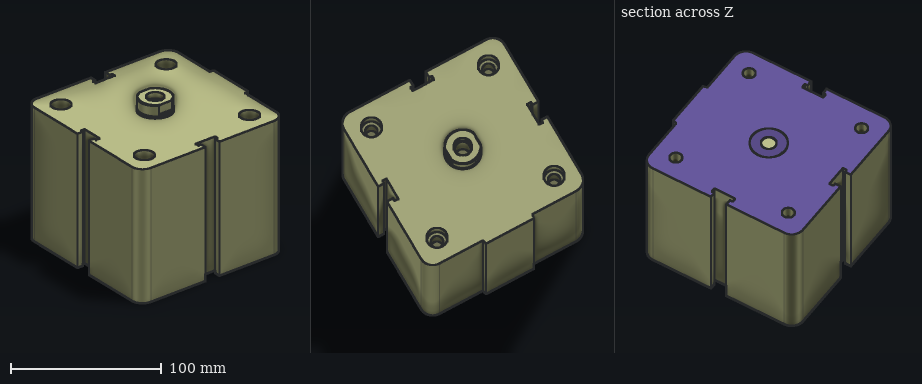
import cadquery as cq

body_side = 122.0
body_height = 101.5
corner_radius = 9.0

rib_height = 3.0
rib_base_width = 38.0
rib_crest_width = 36.2

slot_mouth_width = 12.0
slot_inner_width = 16.2
slot_mouth_depth = 4.6
slot_depth = 7.5

screw_spacing = 89.0
screw_recess_diameter = 14.0
screw_recess_depth = 8.5
screw_hole_diameter = 8.4
screw_hole_depth = 19.5

rod_diameter = 25
rod_end_diameter = 24.5
rod_insertion = 19.5
rod_protrusion = 10
rod_collar_height = 1.6
rod_end_chamfer = 0.5
flat_spacing = 22.0
flat_length = 7.0

rod_hole_diameter = 10.2
rod_hole_depth = 20
rod_entry_diameter = 12.2
rod_entry_depth = 4.9

half_side = body_side / 2
rod_top = body_height + rod_protrusion
rod_bottom = body_height - rod_insertion


def block():
    return (
        cq.Workplane("XY")
        .rect(body_side, body_side)
        .extrude(body_height)
        .edges("|Z")
        .fillet(corner_radius)
    )


def rib():
    crest_y = half_side + rib_height
    return (
        cq.Workplane("XY")
        .polyline([
            (-rib_base_width / 2, half_side),
            (rib_base_width / 2, half_side),
            (rib_crest_width / 2, crest_y),
            (-rib_crest_width / 2, crest_y),
        ])
        .close()
        .extrude(body_height)
    )


def t_slot(angle):
    """T-slot cutter for the -Y face, turned about the Z axis by the angle."""
    mouth = cq.Workplane("XY").box(
        slot_mouth_width, slot_mouth_depth, body_height, centered=(True, False, False)
    )
    inner = cq.Workplane("XY").workplane(origin=(0, slot_mouth_depth, 0)).box(
        slot_inner_width, slot_depth - slot_mouth_depth, body_height, centered=(True, False, False)
    )
    return (
        mouth.union(inner)
        .translate((0, -half_side, 0))
        .rotate((0, 0, 0), (0, 0, 1), angle)
    )


def make_housing():
    housing = block().union(rib())
    for angle in (-90, 0, 90):
        housing = housing.cut(t_slot(angle))
    housing = (
        housing.faces(">Z")
        .workplane(origin=(0, 0, body_height))
        .rect(screw_spacing, screw_spacing, forConstruction=True)
        .vertices()
        .cboreHole(screw_hole_diameter, screw_recess_diameter, screw_recess_depth, screw_hole_depth)
    )
    return (
        housing.faces(">Z")
        .workplane(origin=(0, 0, body_height))
        .hole(rod_diameter, rod_insertion)
    )


def wrench_flats():
    """Cutters that leave two flats facing -X and +X at the rod end."""
    cut_width = (rod_end_diameter - flat_spacing) / 2
    offset = (flat_spacing + cut_width) / 2
    return (
        cq.Workplane("XY", origin=(0, 0, rod_top - flat_length))
        .pushPoints([(-offset, 0), (offset, 0)])
        .rect(cut_width, rod_end_diameter)
        .extrude(flat_length)
    )


def make_rod():
    shank = (
        cq.Workplane("XY", origin=(0, 0, rod_bottom))
        .circle(rod_diameter / 2)
        .extrude(rod_insertion + rod_collar_height)
    )
    end = (
        cq.Workplane("XY", origin=(0, 0, body_height))
        .circle(rod_end_diameter / 2)
        .extrude(rod_protrusion)
        .faces(">Z")
        .chamfer(rod_end_chamfer)
    )
    return (
        shank.union(end)
        .cut(wrench_flats())
        .faces(">Z")
        .workplane(origin=(0, 0, rod_top))
        .cboreHole(rod_hole_diameter, rod_entry_diameter, rod_entry_depth, rod_hole_depth)
    )


housing = make_housing()
piston_rod = make_rod()

result = cq.Compound.makeCompound([housing.val(), piston_rod.val()])